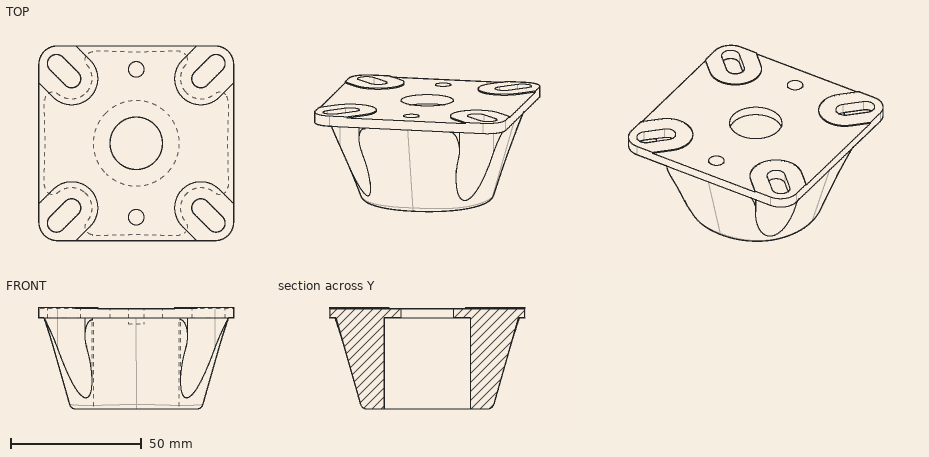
import cadquery as cq
import math

plate_side = 74.7
plate_corner_radius = 7.2
total_height = 39.0
pad_height = 0.45
plate_underside = 34.95
plate_top = total_height - pad_height
plate_thickness = plate_top - plate_underside

slot_inner = 24.7
slot_outer = 30.55
slot_width = 6.9
pad_radius = 10.0

hub_half_width = 34.95
hub_corner_radius = 15.7
hub_bottom_radius = 25.0
hub_bottom_fillet = 2.55

scoop_centre = 24.9
scoop_radius = 7.9
neck_end_angle = 41

bore_diameter = 20.0
cavity_diameter = 32.9
pin_diameter = 6.0
pin_offset = 28.3
pin_depth = 6.0

quarter_turns = (0, 90, 180, 270)
diagonal_cos = math.cos(math.radians(45))


def polar(radius, degrees):
    """Point at a distance and direction from the centre."""
    angle = math.radians(degrees)
    return (radius * math.cos(angle), radius * math.sin(angle))


def turned(point, degrees):
    """Point turned about the centre."""
    distance = math.hypot(*point)
    return polar(distance, math.degrees(math.atan2(point[1], point[0])) + degrees)


def hub_top_outline(plane):
    """Square with smoothly rounded corners, drawn as one curve from each side's middle to the next."""
    straight = hub_half_width - hub_corner_radius
    corner_middle = straight + hub_corner_radius * diagonal_cos
    corner_curve = [
        (hub_half_width, straight),
        (corner_middle, corner_middle),
        (straight, hub_half_width),
        (0, hub_half_width),
    ]
    outline = plane.moveTo(hub_half_width, 0)
    for turn in quarter_turns:
        outline = outline.spline(
            [turned(point, turn) for point in corner_curve],
            tangents=[turned((0, 1), turn), turned((-1, 0), turn)],
            includeCurrent=True,
        )
    return outline.close()


def hub_bottom_outline(plane):
    """Circle drawn as four quarter arcs, matching the four curves of the top outline."""
    outline = plane.moveTo(hub_bottom_radius, 0)
    for turn in quarter_turns:
        outline = outline.threePointArc(
            polar(hub_bottom_radius, turn + 45), polar(hub_bottom_radius, turn + 90)
        )
    return outline.close()


def make_hub():
    """Tapered hub from the bottom circle up to the plate underside."""
    bottom = hub_bottom_outline(cq.Workplane("XY"))
    hub = hub_top_outline(bottom.workplane(offset=plate_underside)).loft(combine=True)
    return hub.faces("<Z").edges().fillet(hub_bottom_fillet)


def make_scoop():
    """Vertical cutter for the +X +Y corner: a round neck flaring tangentially to the hub sides."""
    end_cos = math.cos(math.radians(neck_end_angle))
    end_sin = math.sin(math.radians(neck_end_angle))
    near = scoop_centre - scoop_radius * end_cos
    far = scoop_centre + scoop_radius * end_sin
    deepest = scoop_centre - scoop_radius * diagonal_cos
    flare_radius = (hub_half_width - far) / (1 + end_sin)
    flare_near = near - flare_radius * end_cos
    flare_far = hub_half_width - flare_radius
    flare_middle_angle = math.radians((90 - neck_end_angle) / 2)
    flare_middle = (
        flare_near + flare_radius * math.cos(flare_middle_angle),
        flare_far + flare_radius * math.sin(flare_middle_angle),
    )
    outer = plate_side / 2
    return (
        cq.Workplane("XY")
        .moveTo(near, far)
        .threePointArc((deepest, deepest), (far, near))
        .threePointArc(flare_middle[::-1], (hub_half_width, flare_near))
        .lineTo(outer, flare_near)
        .lineTo(outer, outer)
        .lineTo(flare_near, outer)
        .lineTo(flare_near, hub_half_width)
        .threePointArc(flare_middle, (near, far))
        .close()
        .extrude(plate_underside)
    )


def diagonal_slot(start, end, width, base, height):
    """Rounded bar along the +X +Y diagonal, between end centres (start, start) and (end, end)."""
    centre = (start + end) / 2
    length = (end - start) / diagonal_cos + width
    return (
        cq.Workplane("XY", origin=(0, 0, base))
        .center(centre, centre)
        .slot2D(length, width, 45)
        .extrude(height)
    )


def at_corners(shape):
    """Four copies of a +X +Y corner shape, one at each corner."""
    corners = cq.Workplane("XY")
    for turn in quarter_turns:
        corners = corners.add(shape.rotate((0, 0, 0), (0, 0, 1), turn))
    return corners.combine()


def rounded_plate(base, height):
    """Square layer with the plate's rounded corners."""
    return (
        cq.Workplane("XY", origin=(0, 0, base))
        .rect(plate_side, plate_side)
        .extrude(height)
        .edges("|Z")
        .fillet(plate_corner_radius)
    )


hub = make_hub().cut(at_corners(make_scoop()))
plate = rounded_plate(plate_underside, plate_thickness)

pad_bar = diagonal_slot(slot_inner, plate_side / 2, 2 * pad_radius, plate_top, pad_height)
pads = at_corners(pad_bar).intersect(rounded_plate(plate_top, pad_height))

slot_depth = total_height - plate_underside
slot = diagonal_slot(slot_inner, slot_outer, slot_width, plate_underside, slot_depth)
bore = cq.Workplane("XY").circle(bore_diameter / 2).extrude(total_height)
cavity = cq.Workplane("XY").circle(cavity_diameter / 2).extrude(plate_underside)
pin_holes = (
    cq.Workplane("XY", origin=(0, 0, plate_top))
    .pushPoints([(0, pin_offset), (0, -pin_offset)])
    .circle(pin_diameter / 2)
    .extrude(-pin_depth)
)

result = plate.union(hub).union(pads).cut(at_corners(slot)).cut(bore).cut(cavity).cut(pin_holes)